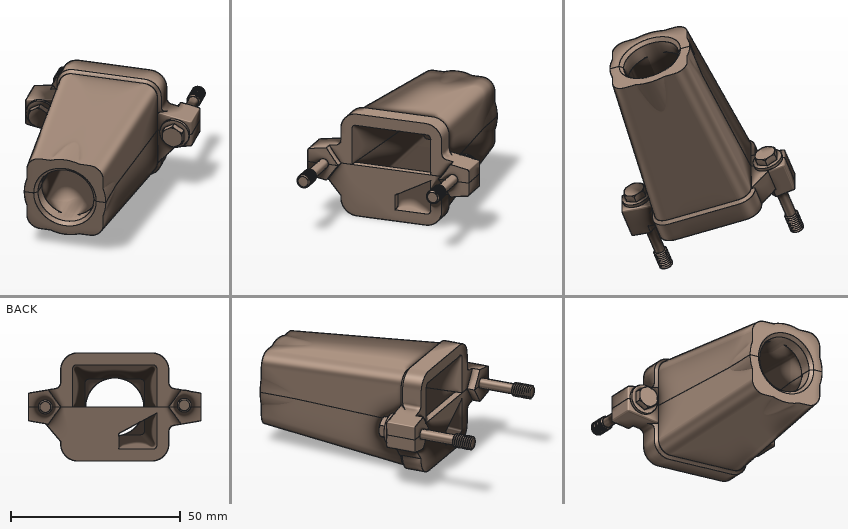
import cadquery as cq
import math


tube_end_half = 11.7
tube_root_half = 15.1
tube_corner_radius = 4.1
collar_radius = 12.5
collar_length = 14.6

flange_width = 32.0
flange_half = flange_width / 2
flange_corner_radius = 5.1
flange_chamfer = flange_half - tube_root_half
flange_front = 47.2
flange_back = 54.15

bore_radius = 8.55
bore_chamfer = 1.0
bore_length = 19.0
cavity_front = 5.1
cavity_half_width = 8.8
cavity_half_height = 8.2
cavity_corner_radius = 1.2
cavity_straight_end = 11.7
cavity_back_half = 12.45

ear_span = 51.0
ear_tip_x = ear_span / 2
ear_tip_half = 4.1
ear_root_half = 5.7
ear_back = 56.55
ear_edge_radius = 0.6
ear_gusset_radius = 1.75
ear_step_x = 19.6
ear_pad_inner_x = 15.9
ear_pad_bend_x = 17.55
ear_pad_bend_half = 2.2
web_outer_x = 20.4
web_bottom_x = 15.2
web_bottom_z = -11.05

partition_thickness = 2.2
opening_right_x = -1.25
opening_top_z = -7.8
opening_slope = 0.54

screw_x = 20.5
left_screw_z = 0.5
right_screw_z = 0.0
shank_radius = 1.5
washer_radius = 4.45
washer_thickness = 0.95
head_flats = 6.0
head_height = 2.3
head_chamfer = 0.4
thread_radius = 2.05
thread_root_radius = 1.6
thread_pitch = 0.65
thread_turns = 9
screw_tip = 73.15

ear_slope = (ear_root_half - ear_tip_half) / (ear_tip_x - flange_half)


def section_plane(y):
    """Plane across the cable axis, with local x = X, local y = Z and normal = -Y."""
    return cq.Workplane("XZ", origin=(0, y, 0))


def along_axis(outline, y_start, y_end):
    """Extrude the outline drawn by a function on a section plane from y_start to y_end."""
    return outline(section_plane(y_end)).extrude(y_end - y_start)


def rounded_rectangle(half_width, half_height, radius):
    return cq.Sketch().rect(2 * half_width, 2 * half_height).vertices().fillet(radius)


def rounded_bar(half_width, half_height, radius, y_start, y_end):
    section = rounded_rectangle(half_width, half_height, radius)
    return along_axis(lambda plane: plane.placeSketch(section), y_start, y_end)


def tapered_bar(start_section, end_section, y_start, y_end):
    """Loft between two sections that lie across the axis at y_start and y_end."""
    end_offset = cq.Location(cq.Vector(0, 0, y_start - y_end))
    return section_plane(y_start).placeSketch(start_section, end_section.moved(end_offset)).loft()


def round_bar(radius, y_start, y_end):
    return along_axis(lambda plane: plane.circle(radius), y_start, y_end)


def ear_half(x):
    """Half height of an ear at a given distance from the axis."""
    return ear_tip_half + ear_slope * (ear_tip_x - x)


def make_shell():
    tube_end = rounded_rectangle(tube_end_half, tube_end_half, tube_corner_radius)
    tube_root = rounded_rectangle(tube_root_half, tube_root_half, tube_corner_radius)
    tube = tapered_bar(tube_end, tube_root, 0, flange_front)
    collar = round_bar(collar_radius, 0, collar_length)
    flange = rounded_bar(flange_half, flange_half, flange_corner_radius, flange_front, flange_back)
    flange = flange.faces("<Y").chamfer(flange_chamfer)
    return tube.union(collar).union(flange)


def make_cavity():
    bore = round_bar(bore_radius, 0, bore_length)
    mouth = cq.Workplane("XY").add(
        cq.Solid.makeCone(
            bore_radius + bore_chamfer, bore_radius, bore_chamfer, cq.Vector(0, 0, 0), cq.Vector(0, 1, 0)
        )
    )
    straight = rounded_bar(
        cavity_half_width, cavity_half_height, cavity_corner_radius, cavity_front, cavity_straight_end
    )
    taper_start = rounded_rectangle(cavity_half_width, cavity_half_height, cavity_corner_radius)
    taper_end = rounded_rectangle(cavity_back_half, cavity_back_half, cavity_corner_radius)
    taper = tapered_bar(taper_start, taper_end, cavity_straight_end, flange_back)
    return bore.union(mouth).union(straight).union(taper)


def make_partition():
    """Wall across the lower half of the cavity, with an opening under a sloping edge on the -X side."""
    half = cavity_back_half
    opening_corner_z = opening_top_z + opening_slope * (half + opening_right_x)
    outline = [
        (-half, 0),
        (half, 0),
        (half, -half),
        (opening_right_x, -half),
        (opening_right_x, opening_top_z),
        (-half, opening_corner_z),
    ]
    return along_axis(
        lambda plane: plane.polyline(outline).close(), flange_back - partition_thickness, flange_back
    )


def make_ear_block():
    """+X ear: a wedge that narrows outwards, with a raised pad at its back."""
    root_x = tube_root_half
    outline = [
        (root_x, ear_half(root_x)),
        (ear_tip_x, ear_tip_half),
        (ear_tip_x, -ear_tip_half),
        (root_x, -ear_half(root_x)),
    ]
    block = along_axis(lambda plane: plane.polyline(outline).close(), flange_front, ear_back)
    block = block.edges(">X and |Y").fillet(ear_edge_radius)
    block = block.faces("<Y").edges("not <X").fillet(ear_edge_radius)
    relief_top = 2 * ear_root_half
    relief = [
        (root_x, relief_top),
        (ear_step_x, relief_top),
        (ear_step_x, ear_half(ear_step_x)),
        (ear_pad_bend_x, ear_pad_bend_half),
        (ear_pad_inner_x, 0),
        (ear_pad_bend_x, -ear_pad_bend_half),
        (ear_step_x, -ear_half(ear_step_x)),
        (ear_step_x, -relief_top),
        (root_x, -relief_top),
    ]
    return block.cut(along_axis(lambda plane: plane.polyline(relief).close(), flange_back, ear_back))


def make_gusset():
    """Concave fillet between the flange side and the top of the +X ear, cut by the flange chamfer."""
    tilt = math.atan(ear_slope)
    center_x = flange_half + ear_gusset_radius
    center_z = ear_half(center_x) + ear_gusset_radius / math.cos(tilt)
    ear_contact = (
        center_x - ear_gusset_radius * math.sin(tilt),
        center_z - ear_gusset_radius * math.cos(tilt),
    )
    middle_angle = math.pi + (math.pi / 2 - tilt) / 2
    arc_middle = (
        center_x + ear_gusset_radius * math.cos(middle_angle),
        center_z + ear_gusset_radius * math.sin(middle_angle),
    )
    gusset = along_axis(
        lambda plane: plane.moveTo(tube_root_half, center_z)
        .lineTo(flange_half, center_z)
        .threePointArc(arc_middle, ear_contact)
        .lineTo(tube_root_half, ear_contact[1])
        .close(),
        flange_front,
        flange_back,
    )
    chamfer_run = flange_back - flange_front
    behind_chamfer = (
        cq.Workplane("XY")
        .polyline([
            (tube_root_half, flange_front),
            (tube_root_half + chamfer_run, flange_back),
            (tube_root_half, flange_back),
        ])
        .close()
        .extrude(flange_half)
    )
    return gusset.intersect(behind_chamfer)


def make_ear():
    gusset = make_gusset()
    return make_ear_block().union(gusset).union(gusset.mirror("XY"))


def make_web():
    """Plate that braces the lower side of the +X ear."""
    outline = [
        (web_bottom_x, 0),
        (web_outer_x, 0),
        (web_outer_x, -ear_half(web_outer_x)),
        (web_bottom_x, web_bottom_z),
    ]
    return along_axis(lambda plane: plane.polyline(outline).close(), flange_front, flange_back)


def make_housing():
    ear = make_ear()
    solid_housing = make_shell().union(ear).union(ear.mirror("YZ")).union(make_web())
    return solid_housing.cut(make_cavity()).union(make_partition())


def make_screw(x, z):
    """Hex screw with a washer flange, a plain shank and a threaded tip; the thread is a row of ridges."""
    thread_start = screw_tip - thread_turns * thread_pitch
    washer_front = flange_front - washer_thickness
    profile = [
        (0, washer_front),
        (washer_radius, washer_front),
        (washer_radius, flange_front),
        (shank_radius, flange_front),
        (shank_radius, thread_start),
    ]
    for turn in range(thread_turns):
        ridge_start = thread_start + turn * thread_pitch
        profile.append((thread_root_radius, ridge_start))
        profile.append((thread_radius, ridge_start + thread_pitch / 2))
    profile.append((thread_root_radius, screw_tip))
    profile.append((0, screw_tip))
    body = cq.Workplane("XY").polyline(profile).close().revolve(360, (0, 0, 0), (0, 1, 0))

    head_front = washer_front - head_height
    corner_radius = head_flats / math.sqrt(3)
    head = along_axis(
        lambda plane: plane.transformed(rotate=(0, 0, 90)).polygon(6, 2 * corner_radius),
        head_front,
        washer_front,
    )
    head_rounding = round_bar(corner_radius, head_front, washer_front).faces("<Y").chamfer(head_chamfer)
    return body.union(head.intersect(head_rounding)).translate((x, 0, z))


def half_space(direction):
    """Box that holds everything above (direction 1) or below (direction -1) the split plane."""
    size = 2 * screw_tip
    return cq.Workplane("XY").box(size, size, size).translate((0, 0, direction * size / 2))


housing = make_housing()
left_screw = make_screw(-screw_x, left_screw_z)
right_screw = make_screw(screw_x, right_screw_z)

upper_half = housing.intersect(half_space(1)).cut(right_screw).union(left_screw)
lower_half = housing.intersect(half_space(-1)).cut(left_screw).union(right_screw)

result = cq.Compound.makeCompound([upper_half.val(), lower_half.val()])